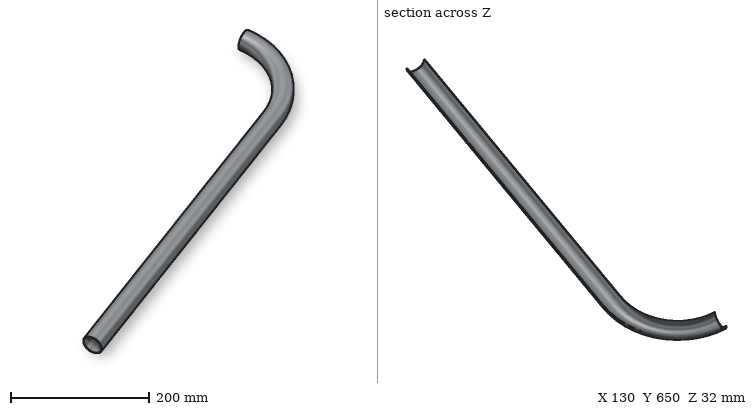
import cadquery as cq

total_length = 650.0
bend_reach = 130.0
outer_diameter = 32.0
wall = 1.7

outer_radius = outer_diameter / 2
inner_radius = outer_radius - wall
bend_radius = bend_reach - outer_radius
straight_length = total_length - bend_reach

straight_leg = (
    cq.Workplane("XZ")
    .circle(outer_radius)
    .circle(inner_radius)
    .extrude(-straight_length)
)

bend = (
    cq.Workplane("XZ", origin=(0, straight_length, 0))
    .circle(outer_radius)
    .circle(inner_radius)
    .revolve(90, (-bend_radius, 0, 0), (-bend_radius, 1, 0))
)

result = straight_leg.union(bend)